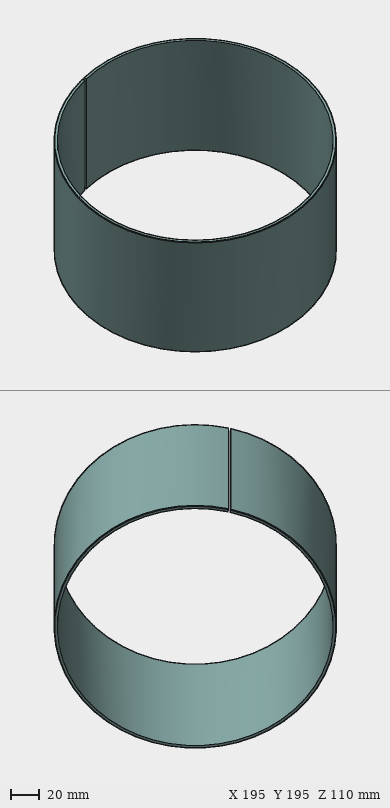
import cadquery as cq

outer_diameter = 195.0
wall = 2.3
height = 110.0
rim_chamfer = 0.49
gap_angle = 1.0
full_turn = 360.0

outer_radius = outer_diameter / 2
inner_radius = outer_radius - wall


def wall_section():
    """Radial section of the wall on the -X side, chamfered at both outer rims."""
    return (
        cq.Workplane("XZ")
        .moveTo(-inner_radius, 0)
        .lineTo(-outer_radius + rim_chamfer, 0)
        .lineTo(-outer_radius, rim_chamfer)
        .lineTo(-outer_radius, height - rim_chamfer)
        .lineTo(-outer_radius + rim_chamfer, height)
        .lineTo(-inner_radius, height)
        .close()
    )


result = wall_section().revolve(full_turn - gap_angle, (0, 0), (0, 1))